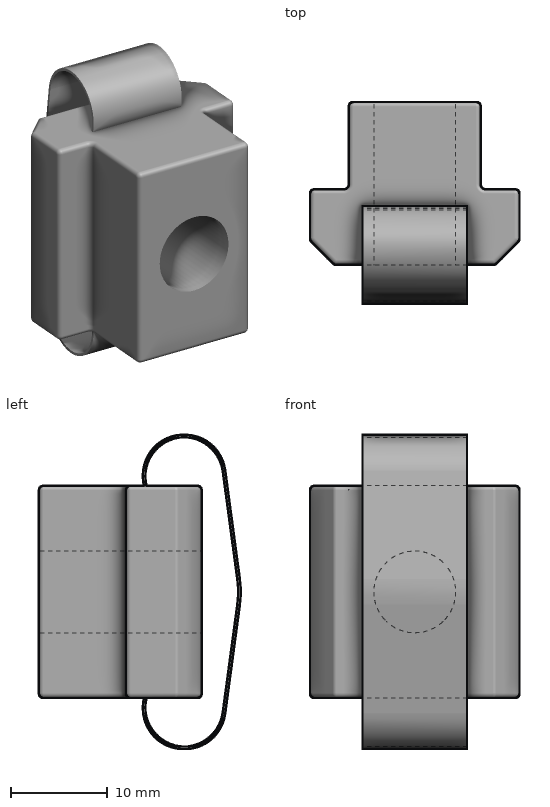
import cadquery as cq
import math

block_width = 21.7
block_height = 22.0
block_depth = 16.88
stem_width = 13.7
shoulder_y = 7.85
front_chamfer = 2.55
edge_radius = 0.5
bore_diameter = 8.47

clip_width = 10.85
clip_height = 32.6
clip_thickness = 0.3
clip_front_y = -4.05
loop_radius = 4.3
loop_center_y = 1.83
apex_radius = 10.0
embed_depth = 0.33

loop_center_z = clip_height / 2 - loop_radius
apex_center_y = clip_front_y + apex_radius

center_offset_y = apex_center_y - loop_center_y
center_distance = math.hypot(center_offset_y, loop_center_z)
leg_tilt = math.atan2(loop_center_z, center_offset_y) - math.acos(
    (apex_radius - loop_radius) / center_distance
)
end_drop = loop_center_z - (block_height / 2 - embed_depth)
loop_end_angle = -math.asin(end_drop / loop_radius)


def make_block():
    """T-shaped block with chamfered front corners and all edges rounded."""
    half_width = block_width / 2
    half_stem = stem_width / 2
    right_side = [
        (half_width - front_chamfer, 0),
        (half_width, front_chamfer),
        (half_width, shoulder_y),
        (half_stem, shoulder_y),
        (half_stem, block_depth),
    ]
    left_side = [(-x, y) for x, y in reversed(right_side)]
    block = (
        cq.Workplane("XY")
        .polyline(right_side + left_side)
        .close()
        .extrude(block_height / 2, both=True)
    )
    return block.edges().fillet(edge_radius)


def make_bore():
    """Round hole along Y through the middle of the block."""
    return cq.Workplane("XZ").circle(bore_diameter / 2).extrude(-block_depth)


def loop_point(radius, angle):
    """(Y, Z) point on the upper loop, with the angle measured from +Y toward +Z."""
    return (
        loop_center_y + radius * math.cos(angle),
        loop_center_z + radius * math.sin(angle),
    )


def mirrored(point):
    """The same (Y, Z) point reflected about Z = 0."""
    return (point[0], -point[1])


def make_clip():
    """Bent strip: end loop, straight leg, apex bend, straight leg, end loop."""

    def strip_points(inset):
        radius = loop_radius - inset
        bend_radius = apex_radius - inset
        loop_end = loop_point(radius, loop_end_angle)
        loop_top = loop_point(radius, math.pi / 2)
        leg_top = loop_point(radius, math.pi - leg_tilt)
        leg_bottom = (
            apex_center_y - bend_radius * math.cos(leg_tilt),
            bend_radius * math.sin(leg_tilt),
        )
        apex = (clip_front_y + inset, 0)
        return loop_end, loop_top, leg_top, leg_bottom, apex

    outer_end, outer_top, outer_leg_top, outer_leg_bottom, outer_apex = strip_points(0)
    inner_end, inner_top, inner_leg_top, inner_leg_bottom, inner_apex = strip_points(clip_thickness)
    return (
        cq.Workplane("YZ")
        .moveTo(*outer_end)
        .threePointArc(outer_top, outer_leg_top)
        .lineTo(*outer_leg_bottom)
        .threePointArc(outer_apex, mirrored(outer_leg_bottom))
        .lineTo(*mirrored(outer_leg_top))
        .threePointArc(mirrored(outer_top), mirrored(outer_end))
        .lineTo(*mirrored(inner_end))
        .threePointArc(mirrored(inner_top), mirrored(inner_leg_top))
        .lineTo(*mirrored(inner_leg_bottom))
        .threePointArc(inner_apex, inner_leg_bottom)
        .lineTo(*inner_leg_top)
        .threePointArc(inner_top, inner_end)
        .close()
        .extrude(clip_width / 2, both=True)
    )


result = make_block().cut(make_bore()).union(make_clip())